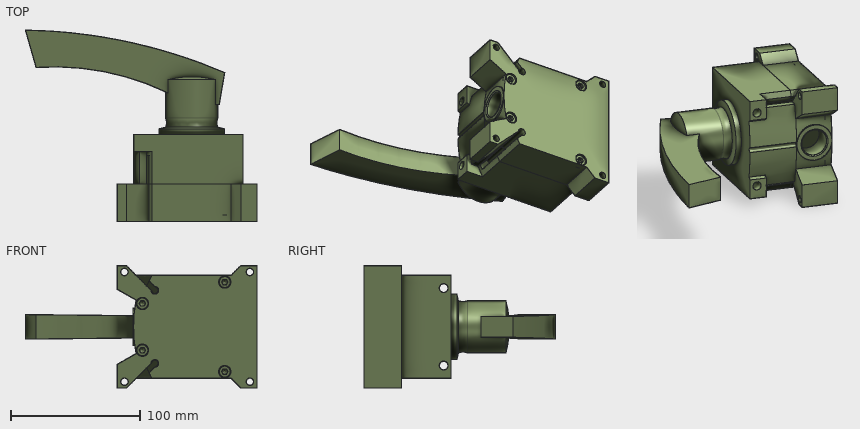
import cadquery as cq
import math


BASE_TOP = 29.2
EAR_BOTTOM = 54.2
HOUSING_TOP = 67.6

BODY_HALF = 40.0
LEFT_X = -45.0
RIGHT_X = 39.8
BULGE_RADIUS = 117.0

BASE_HALF = 47.5
BASE_LEFT_X = -57.7
BASE_RIGHT_X = 50.7
LUG_RISE = BASE_HALF - BODY_HALF
LEFT_LUG_TOP_X = -50.6
RIGHT_LUG_TOP_X = 38.0
LEFT_LUG_LOW_Z = 29.0
LUG_ROOT_Z = 20.7
LUG_HOLE_DIAMETER = 5.5
LUG_HOLE_XS = (-52.1, 45.1)
LUG_HOLE_Z = 42.5

LUG_EDGE_SUM = LEFT_LUG_TOP_X + BASE_HALF
STEP_Z = 31.8
NOTCH_FLOOR_X = LUG_EDGE_SUM - STEP_Z
NOTCH_TOP_X = -30.8
SLOT_WIDTH = 4.0
SLOT_LENGTH = 10.0
BASE_SLOT_END_DIAMETER = 6.0
HOUSING_SLOT_END_DIAMETER = 4.92
SLOT_END_X = -28.6
SLOT_END_Z = LUG_EDGE_SUM + SLOT_WIDTH / math.sqrt(2) - SLOT_END_X
SLOT_TOP = 51.1

EAR_OUTER_Z = 24.4
EAR_INNER_Z = 22.8
EAR_HOLE_DIAMETER = 6.6
EAR_HOLE_Y = 61.8
EAR_HOLE_Z = 30.0
GROOVE_WIDTH = 3.8

PORT_BOSS_DIAMETER = 29.0
PORT_BOSS_X = -45.6
PORT_Y = BASE_TOP / 2
PORT_DIAMETER = 20.5
PORT_MOUTH_DIAMETER = 22.2
PORT_DEPTH = 18.0

SCREW_PLACES = ((-38.2, 18.1), (25.6, 34.7))
SCREW_SINK_DIAMETER = 9.5
SCREW_HEAD_DIAMETER = 8.5
SCREW_SINK_DEPTH = 5.0
SCREW_HEAD_BELOW_FACE = 1.0
SOCKET_DIAMETER = 4.92
SOCKET_DEPTH = 2.5
SOCKET_TIP_DEPTH = 1.4

FLANGE_RADIUS = 51.0 / 2
FLANGE_TOP = 72.0
NECK_RADIUS = 39.2 / 2
KNOB_RADIUS = 20.25
NECK_BOTTOM = 73.2
KNOB_BOTTOM = 80.3
KNOB_EDGE_Y = 110.0
KNOB_DOME_HEIGHT = 2.7

LEVER_TIP_TOP = (-128.9, 148.5)
LEVER_TIP_BOTTOM = (-120.6, 119.4)
LEVER_TOP_MID = (-54.0, 140.4)
LEVER_TOP_END = (25.6, 115.5)
LEVER_BOTTOM_MID = (-66.0, 115.8)
LEVER_BOTTOM_ROOT = (-18.0, 99.5)
LEVER_HEEL = (21.4, 90.7)
LEVER_HEEL_LENGTH = 4.0
LEVER_TIP_WIDTH = 19.2
LEVER_END_WIDTH = 16.0


def xz_plane(y):
    """Sketch plane at height y: local x is X, local y is Z, and it faces -Y."""
    return cq.Workplane("XZ", origin=(0, y, 0))


def prism(outline, y_low, y_high):
    """Closed polygon of (X, Z) points, raised from y_low to y_high."""
    return xz_plane(y_low).polyline(outline).close().extrude(y_low - y_high)


def rod(diameter, x, z, y_low, y_high):
    """Round rod along Y."""
    return xz_plane(y_low).center(x, z).circle(diameter / 2).extrude(y_low - y_high)


def bulge_x(z):
    """X of the bulged left face at height z."""
    return LEFT_X + BULGE_RADIUS - math.sqrt(BULGE_RADIUS**2 - z**2)


def corner_slot(end_diameter, y_low, y_high, side):
    """Diagonal slot with a round inner end; side is +1 above Z = 0 and -1 below."""
    reach = SLOT_LENGTH / math.sqrt(2)
    middle = (SLOT_END_X - reach / 2, side * (SLOT_END_Z + reach / 2))
    channel = (
        xz_plane(y_low)
        .center(*middle)
        .transformed(rotate=(0, 0, -45 * side))
        .rect(SLOT_LENGTH, SLOT_WIDTH)
        .extrude(y_low - y_high)
    )
    round_end = rod(end_diameter, SLOT_END_X, side * SLOT_END_Z, y_low, y_high)
    return channel.union(round_end)


def screw_cut(x, z):
    """Ring around a sunken screw head, the space above it, and its pointed hex socket."""
    head = rod(SCREW_HEAD_DIAMETER, x, z, SCREW_HEAD_BELOW_FACE, SCREW_SINK_DEPTH)
    sink = rod(SCREW_SINK_DIAMETER, x, z, 0, SCREW_SINK_DEPTH).cut(head)
    socket_bottom = SCREW_HEAD_BELOW_FACE + SOCKET_DEPTH
    socket = xz_plane(0).center(x, z).polygon(6, SOCKET_DIAMETER).extrude(-socket_bottom)
    inscribed_radius = SOCKET_DIAMETER / 2 * math.cos(math.pi / 6)
    tip = cq.Solid.makeCone(
        inscribed_radius,
        0,
        SOCKET_TIP_DEPTH,
        pnt=cq.Vector(x, socket_bottom, z),
        dir=cq.Vector(0, 1, 0),
    )
    return sink.union(socket).union(cq.Workplane(obj=tip))


def make_base():
    """Plate with four lugs, a bulged left face, the port and the screws."""
    upper_right = [
        (RIGHT_LUG_TOP_X - LUG_RISE, BODY_HALF),
        (RIGHT_LUG_TOP_X, BASE_HALF),
        (BASE_RIGHT_X, BASE_HALF),
    ]
    upper_left = [
        (bulge_x(LUG_ROOT_Z), LUG_ROOT_Z),
        (BASE_LEFT_X, LEFT_LUG_LOW_Z),
        (BASE_LEFT_X, BASE_HALF),
        (LEFT_LUG_TOP_X, BASE_HALF),
        (NOTCH_FLOOR_X, STEP_Z),
        (NOTCH_TOP_X, BODY_HALF),
    ]
    upper = upper_left + upper_right
    lower = [(x, -z) for x, z in reversed(upper)]
    base = (
        xz_plane(0)
        .polyline(upper + lower)
        .threePointArc((LEFT_X, 0), upper[0])
        .close()
        .extrude(-BASE_TOP)
    )

    port_face = cq.Workplane("YZ", origin=(PORT_BOSS_X, PORT_Y, 0))
    port_boss = port_face.circle(PORT_BOSS_DIAMETER / 2).extrude(PORT_DEPTH)
    port_bore = port_face.circle(PORT_DIAMETER / 2).extrude(PORT_DEPTH)
    mouth_depth = (PORT_MOUTH_DIAMETER - PORT_DIAMETER) / 2
    mouth = cq.Solid.makeCone(
        PORT_MOUTH_DIAMETER / 2,
        PORT_DIAMETER / 2,
        mouth_depth,
        pnt=cq.Vector(PORT_BOSS_X, PORT_Y, 0),
        dir=cq.Vector(1, 0, 0),
    )
    base = base.union(port_boss).cut(port_bore).cut(cq.Workplane(obj=mouth))

    for side in (1, -1):
        base = base.cut(corner_slot(BASE_SLOT_END_DIAMETER, 0, BASE_TOP, side))
        for x in LUG_HOLE_XS:
            base = base.cut(rod(LUG_HOLE_DIAMETER, x, side * LUG_HOLE_Z, 0, BASE_TOP))
        for x, z in SCREW_PLACES:
            base = base.cut(screw_cut(x, side * z))
    return base


def make_housing():
    """Block with a bulged left face, two drilled ears, corner notches and a groove."""
    bulge_end = (bulge_x(STEP_Z), STEP_Z)
    upper = [bulge_end, (NOTCH_FLOOR_X, STEP_Z), (NOTCH_TOP_X, BODY_HALF), (RIGHT_X, BODY_HALF)]
    lower = [(x, -z) for x, z in reversed(upper)]
    housing = (
        xz_plane(BASE_TOP)
        .polyline(upper + lower)
        .threePointArc((LEFT_X, 0), bulge_end)
        .close()
        .extrude(BASE_TOP - HOUSING_TOP)
    )

    for side in (1, -1):
        ear = [
            (LEFT_X, side * BODY_HALF),
            (LEFT_X, side * EAR_OUTER_Z),
            (bulge_x(EAR_INNER_Z), side * EAR_INNER_Z),
            (NOTCH_TOP_X, side * EAR_INNER_Z),
            (NOTCH_TOP_X, side * BODY_HALF),
        ]
        housing = housing.union(prism(ear, EAR_BOTTOM, HOUSING_TOP))
        ear_hole = (
            cq.Workplane("YZ", origin=(LEFT_X, EAR_HOLE_Y, side * EAR_HOLE_Z))
            .circle(EAR_HOLE_DIAMETER / 2)
            .extrude(RIGHT_X - LEFT_X)
        )
        slot = corner_slot(HOUSING_SLOT_END_DIAMETER, BASE_TOP, SLOT_TOP, side)
        housing = housing.cut(ear_hole).cut(slot)

    return housing.cut(rod(GROOVE_WIDTH, LEFT_X, 0, BASE_TOP, HOUSING_TOP))


def make_handle():
    """Turned flange, neck and knob, with a curved lever tapering toward the knob."""
    knob_top = KNOB_EDGE_Y + KNOB_DOME_HEIGHT
    dome_radius = (KNOB_RADIUS**2 + KNOB_DOME_HEIGHT**2) / (2 * KNOB_DOME_HEIGHT)
    dome_mid_r = KNOB_RADIUS / 2
    dome_mid_y = knob_top - dome_radius + math.sqrt(dome_radius**2 - dome_mid_r**2)
    neck_mid = (NECK_RADIUS, (NECK_BOTTOM + KNOB_BOTTOM) / 2)
    turned = (
        cq.Workplane("XY")
        .moveTo(0, HOUSING_TOP)
        .lineTo(FLANGE_RADIUS, HOUSING_TOP)
        .lineTo(FLANGE_RADIUS, FLANGE_TOP)
        .lineTo(KNOB_RADIUS, NECK_BOTTOM)
        .threePointArc(neck_mid, (KNOB_RADIUS, KNOB_BOTTOM))
        .lineTo(KNOB_RADIUS, KNOB_EDGE_Y)
        .threePointArc((dome_mid_r, dome_mid_y), (0, knob_top))
        .close()
        .revolve(360, (0, 0, 0), (0, 1, 0))
    )

    side_view = (
        cq.Workplane("XY", origin=(0, 0, -LEVER_TIP_WIDTH / 2))
        .moveTo(*LEVER_TIP_BOTTOM)
        .lineTo(*LEVER_TIP_TOP)
        .threePointArc(LEVER_TOP_MID, LEVER_TOP_END)
        .lineTo(*LEVER_HEEL)
        .lineTo(LEVER_HEEL[0] - LEVER_HEEL_LENGTH, LEVER_HEEL[1])
        .lineTo(*LEVER_BOTTOM_ROOT)
        .threePointArc(LEVER_BOTTOM_MID, LEVER_TIP_BOTTOM)
        .close()
        .extrude(LEVER_TIP_WIDTH)
    )
    tip_x = LEVER_TIP_TOP[0]
    end_x = LEVER_TOP_END[0]
    taper = [
        (tip_x, LEVER_TIP_WIDTH / 2),
        (end_x, LEVER_END_WIDTH / 2),
        (end_x, -LEVER_END_WIDTH / 2),
        (tip_x, -LEVER_TIP_WIDTH / 2),
    ]
    lever = side_view.intersect(prism(taper, 0, LEVER_TIP_TOP[1]))
    return turned.union(lever)


base = make_base().solids()
housing = make_housing().solids()
handle = make_handle().solids()

result = cq.Compound.makeCompound([base.val(), housing.val(), handle.val()])